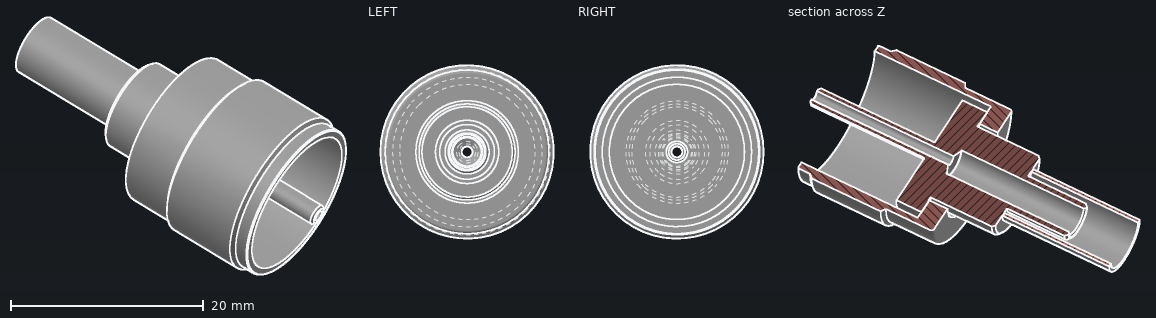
import cadquery as cq
import math


overall_length = 36.9
collar_rear = 12.7
nut_rear = 18.05
nut_step = 23.6
nut_band_end = 32.15
nut_front = 34.05

sleeve_radius = 3.3
sleeve_bore_radius = 2.85

nut_rear_radius = 8.5
nut_radius = 9.0
nut_front_radius = 8.6
nut_step_chamfer = 0.35
nut_band_chamfer = 0.45
nut_rear_round = 0.35
nut_front_chamfer = 0.1
nut_opening_radius = 5.3
nut_cavity_radius = 7.75
nut_wall = 2.2

neck_rear = 5.55
neck_radius = 2.3
neck_chamfer = 0.35
collar_radius = 4.98
collar_chamfer = 0.3
flange_radius = 7.0
flange_thickness = 2.95
cable_bore_radius = 1.6
cable_bore_chamfer = 0.22
funnel_radius = 1.48
funnel_angle = 135.0

pin_radius = 1.1
pin_chamfer = 0.25
pin_bore_radius = 0.55

flange_rear = nut_rear + nut_wall
flange_front = flange_rear + flange_thickness
cable_bore_end = flange_rear
funnel_length = (funnel_radius - pin_bore_radius) / math.tan(math.radians(funnel_angle / 2))
funnel_end = cable_bore_end + funnel_length


def turn(profile):
    """Revolve a closed (x, radius) profile about the X axis."""
    return profile.close().revolve(360, (0, 0, 0), (1, 0, 0))


def make_crimp_sleeve():
    """Plain tube that butts against the rear face of the collar."""
    return turn(
        cq.Workplane("XY")
        .moveTo(0, sleeve_bore_radius)
        .lineTo(0, sleeve_radius)
        .lineTo(collar_rear, sleeve_radius)
        .lineTo(collar_rear, sleeve_bore_radius)
    )


def make_coupling_nut():
    """Stepped sleeve with a rear wall that turns freely around the collar."""
    round_middle = nut_rear_round * (1 - math.sqrt(0.5))
    return turn(
        cq.Workplane("XY")
        .moveTo(nut_rear, nut_opening_radius)
        .lineTo(nut_rear, nut_rear_radius - nut_rear_round)
        .threePointArc(
            (nut_rear + round_middle, nut_rear_radius - round_middle),
            (nut_rear + nut_rear_round, nut_rear_radius),
        )
        .lineTo(nut_step, nut_rear_radius)
        .lineTo(nut_step + nut_step_chamfer, nut_radius)
        .lineTo(nut_band_end, nut_radius)
        .lineTo(nut_band_end + nut_band_chamfer, nut_front_radius)
        .lineTo(nut_front - nut_front_chamfer, nut_front_radius)
        .lineTo(nut_front, nut_front_radius - nut_front_chamfer)
        .lineTo(nut_front, nut_cavity_radius)
        .lineTo(flange_rear, nut_cavity_radius)
        .lineTo(flange_rear, nut_opening_radius)
    )


def make_body():
    """Neck, collar, flange and contact pin, bored through along the axis."""
    return turn(
        cq.Workplane("XY")
        .moveTo(neck_rear, cable_bore_radius + cable_bore_chamfer)
        .lineTo(neck_rear, neck_radius - neck_chamfer)
        .lineTo(neck_rear + neck_chamfer, neck_radius)
        .lineTo(collar_rear, neck_radius)
        .lineTo(collar_rear, collar_radius - collar_chamfer)
        .lineTo(collar_rear + collar_chamfer, collar_radius)
        .lineTo(flange_rear, collar_radius)
        .lineTo(flange_rear, flange_radius)
        .lineTo(flange_front, flange_radius)
        .lineTo(flange_front, pin_radius)
        .lineTo(overall_length - pin_chamfer, pin_radius)
        .lineTo(overall_length, pin_radius - pin_chamfer)
        .lineTo(overall_length, pin_bore_radius)
        .lineTo(funnel_end, pin_bore_radius)
        .lineTo(cable_bore_end, funnel_radius)
        .lineTo(cable_bore_end, cable_bore_radius)
        .lineTo(neck_rear + cable_bore_chamfer, cable_bore_radius)
    )


crimp_sleeve = make_crimp_sleeve()
coupling_nut = make_coupling_nut()
body = make_body()

result = cq.Compound.makeCompound([crimp_sleeve.val(), coupling_nut.val(), body.val()])